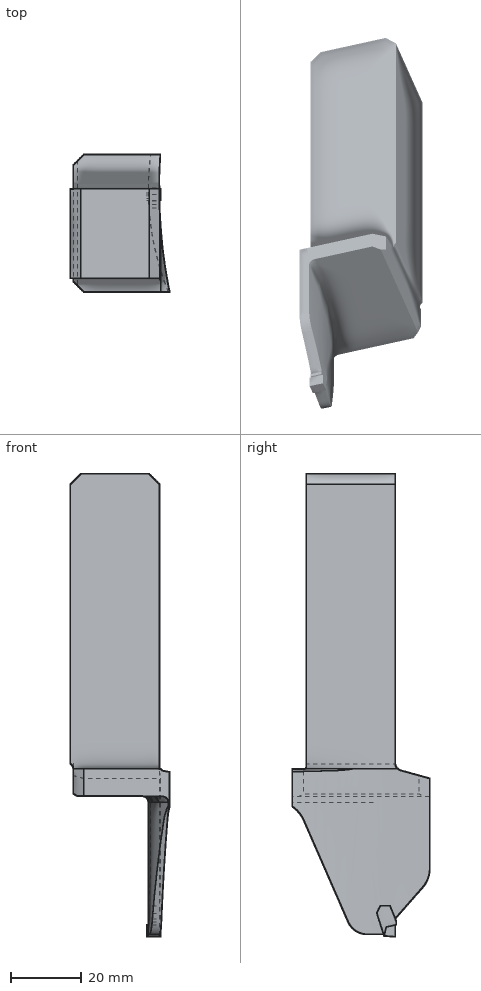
import cadquery as cq
import math


shank_size = 25.4
tool_top = 131.7
shank_chamfer = 3.0

head_left = 0.8
head_front = -3.95
head_back = 35.2
head_bottom = 40.0
head_top = 47.8
shank_root = head_top - 3.0
head_corner_chamfer = 3.1
head_back_slope = 15.5
back_fillet = 2.0
front_fillet = 0.4
left_blend_bottom = 47.7
left_blend_height = 1.6
left_blend_radius = 2.0
underside_bevel_width = 1.2
underside_bevel_height = 0.75
blade_root_fillet = 1.65

relief_start = shank_size + 0.4
relief_width = 0.9
relief_depth = 0.6
relief_radius = 0.9
relief_slope = 10.0

crest_y = shank_size
blade_thickness = 3.2
groove_inner_radius = 146.0
groove_outer_radius = 78.0
blade_right_reach = 28.29

blade_bottom = 0.7
blade_front_angle = 66.4
blade_front_corner_y = 13.5
flare_start_y = -0.7
flare_top = 37.1
blade_front_radius = 6.0
blade_back_corner_z = 16.4
blade_back_radius = 8.0
seat_corner = (25.75, 5.6)
seat_bottom_y = 22.1

tip_width = 4.0
cutting_edge = (shank_size, 0.0)
tip_heel = (22.2, 0.25)
tip_shoulder = (shank_size, 3.4)
tip_chip_breaker = [(22.8, 2.8), (22.5, 1.6)]
insert_clamp_end = [(25.7, 3.5), (25.7, 4.35), (23.9, 8.8), (21.1, 8.8), (20.1, 6.8)]

margin = 10.0


def arc_depth(radius, chord):
    """Distance an arc departs from its crest tangent at a given chord offset."""
    return radius - math.sqrt(radius**2 - chord**2)


blade_right_crest = blade_right_reach - arc_depth(groove_inner_radius, crest_y - head_front)
blade_left_crest = blade_right_crest - blade_thickness
blade_mid_x = (blade_left_crest + blade_right_crest) / 2


def extrude_along_x(profile, x_start, x_end):
    """Extrude a closed YZ profile between two X positions."""
    return profile.extrude(x_end - x_start).translate((x_start, 0, 0))


def groove_cylinder(crest_x, radius, height):
    """Vertical cylinder whose -X crest is at the given X."""
    return (
        cq.Workplane("XY")
        .center(crest_x + radius, crest_y)
        .circle(radius)
        .extrude(height)
    )


def make_shank():
    block = cq.Workplane("XY").box(shank_size, shank_size, tool_top - shank_root, centered=False)
    block = block.translate((0, 0, shank_root))
    block = block.faces(">Z").edges("|Y").chamfer(shank_chamfer)
    undercut = (
        cq.Workplane("XZ")
        .moveTo(0, left_blend_bottom + left_blend_height)
        .radiusArc((head_left, left_blend_bottom), left_blend_radius)
        .lineTo(head_left, shank_root)
        .lineTo(-margin, shank_root)
        .lineTo(-margin, left_blend_bottom + left_blend_height)
        .close()
        .extrude(-shank_size)
    )
    return block.cut(undercut)


def make_head():
    slope_drop = (head_back - shank_size) * math.tan(math.radians(head_back_slope))
    side = (
        cq.Workplane("YZ")
        .moveTo(head_front, head_bottom)
        .lineTo(head_back, head_bottom)
        .lineTo(head_back, head_top - slope_drop)
        .lineTo(shank_size, head_top)
        .lineTo(head_front, head_top)
        .close()
    )
    head = extrude_along_x(side, head_left, blade_right_reach)
    head = head.edges("|Z and <X").chamfer(head_corner_chamfer)
    bevel = (
        cq.Workplane("XZ", origin=(0, head_front, 0))
        .moveTo(head_left, head_bottom)
        .lineTo(head_left + underside_bevel_width, head_bottom)
        .lineTo(head_left, head_bottom + underside_bevel_height)
        .close()
        .extrude(head_front - head_back)
    )
    return head.cut(bevel)


def make_head_relief():
    step_end = relief_start + relief_width
    step_z = head_top - relief_depth
    slope_drop = margin * math.tan(math.radians(relief_slope))
    return (
        cq.Workplane("XZ", origin=(0, head_front, 0))
        .moveTo(relief_start, head_top)
        .radiusArc((step_end, step_z), -relief_radius)
        .lineTo(step_end + margin, step_z - slope_drop)
        .lineTo(step_end + margin, head_top)
        .close()
        .extrude(head_front - head_back)
    )


def make_blade():
    slope = math.tan(math.radians(blade_front_angle))
    flare_z = blade_bottom + (blade_front_corner_y - flare_start_y) * slope
    side = (
        cq.Workplane("YZ")
        .moveTo(seat_bottom_y, blade_bottom)
        .lineTo(blade_front_corner_y, blade_bottom)
        .lineTo(flare_start_y, flare_z)
        .tangentArcPoint((head_front, flare_top), relative=False)
        .lineTo(head_front, head_bottom)
        .lineTo(head_back, head_bottom)
        .lineTo(head_back, blade_back_corner_z)
        .lineTo(*seat_corner)
        .close()
    )
    plate = extrude_along_x(side, blade_left_crest - margin, blade_right_reach)
    front_corner = cq.selectors.NearestToPointSelector((blade_mid_x, blade_front_corner_y, blade_bottom))
    back_corner = cq.selectors.NearestToPointSelector((blade_mid_x, head_back, blade_back_corner_z))
    plate = plate.edges("|X").edges(front_corner).fillet(blade_front_radius)
    plate = plate.edges("|X").edges(back_corner).fillet(blade_back_radius)
    return plate.intersect(groove_cylinder(blade_left_crest, groove_outer_radius, head_top))


def insert_block(x_start, x_end):
    """Full insert outline between two X positions, used for the insert and for its seat."""
    outline = [cutting_edge, tip_shoulder, *insert_clamp_end, tip_heel]
    profile = cq.Workplane("YZ").polyline(outline).close()
    return extrude_along_x(profile, x_start, x_end)


def insert_tip():
    outline = [cutting_edge, tip_shoulder, *tip_chip_breaker, tip_heel]
    profile = cq.Workplane("YZ").polyline(outline).close()
    return extrude_along_x(profile, blade_mid_x - tip_width / 2, blade_mid_x + tip_width / 2)


def make_insert():
    return insert_block(blade_left_crest, blade_right_crest).union(insert_tip())


def make_holder():
    head = make_head().union(make_blade())
    blade_root = cq.selectors.NearestToPointSelector((blade_left_crest, crest_y, head_bottom))
    head = head.edges("%CIRCLE").edges(blade_root).fillet(blade_root_fillet)

    holder = head.union(make_shank())
    shank_mid_x = (head_left + shank_size) / 2
    back_joint = cq.selectors.NearestToPointSelector((shank_mid_x, shank_size, head_top))
    front_joint = cq.selectors.NearestToPointSelector((shank_mid_x, 0, head_top))
    holder = holder.edges("|X").edges(back_joint).fillet(back_fillet)
    holder = holder.edges("|X").edges(front_joint).fillet(front_fillet)

    holder = holder.cut(make_head_relief())
    concave_face = groove_cylinder(blade_right_crest, groove_inner_radius, head_top)
    insert_seat = insert_block(blade_left_crest - margin, blade_right_crest + margin)
    return holder.cut(concave_face).cut(insert_seat)


holder = make_holder()
insert = make_insert()
result = cq.Compound.makeCompound([holder.val(), insert.val()])